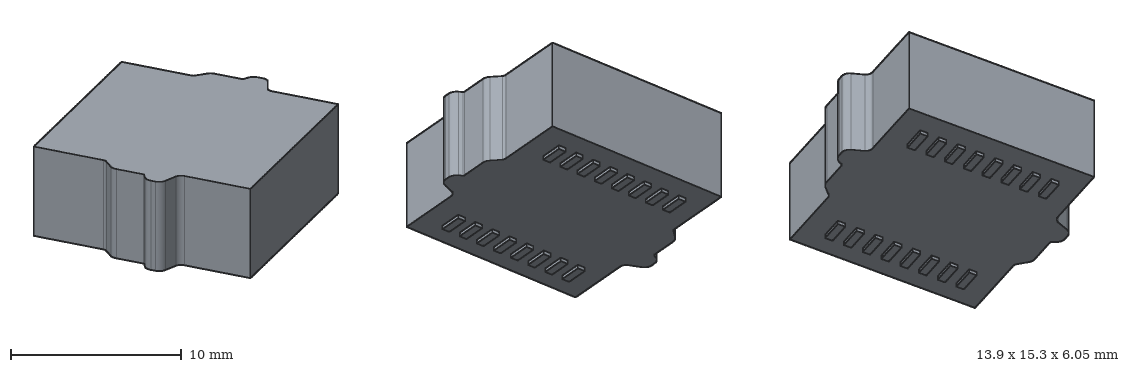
import cadquery as cq

body_width = 13.9
body_depth = 12.53
body_height = 5.8

overall_depth = 15.28
step_projection = 0.78
ramp_start_x = -2.35
ramp_end_x = ramp_start_x + step_projection
nose_start_x = 0.49
nose_left_x = 0.83
nose_right_x = 1.83
nose_end_x = 2.4
lug_overlap = 0.76

ramp_foot_radius = 0.3
step_radius = 0.61
nose_foot_radius = 0.09
nose_left_radius = 0.61
nose_right_radius = 0.53
nose_end_radius = 0.46

pad_length = 1.5
pad_width = 0.5
pad_height = 0.25
pad_pitch = 1.27
pads_per_row = 8
row_spacing = 9.6

face_y = body_depth / 2
step_y = face_y + step_projection
nose_y = overall_depth / 2


def make_lug():
    """Lug on the +Y face, with a flat strip at its root to carry the foot fillets."""
    root_y = face_y - lug_overlap
    strip_half_width = body_width / 2
    corners = [
        (-strip_half_width, root_y),
        (-strip_half_width, face_y),
        (ramp_start_x, face_y),
        (ramp_end_x, step_y),
        (nose_start_x, step_y),
        (nose_left_x, nose_y),
        (nose_right_x, nose_y),
        (nose_end_x, face_y),
        (strip_half_width, face_y),
        (strip_half_width, root_y),
    ]
    lug = cq.Workplane("XY").polyline(corners).close().extrude(body_height)

    rounded_corners = [
        (ramp_start_x, face_y, ramp_foot_radius),
        (ramp_end_x, step_y, step_radius),
        (nose_start_x, step_y, nose_foot_radius),
        (nose_left_x, nose_y, nose_left_radius),
        (nose_right_x, nose_y, nose_right_radius),
        (nose_end_x, face_y, nose_end_radius),
    ]
    for x, y, radius in rounded_corners:
        corner_edge = cq.selectors.NearestToPointSelector((x, y, body_height / 2))
        lug = lug.edges("|Z").edges(corner_edge).fillet(radius)
    return lug


def make_pads():
    """Two rows of rectangular pads hanging below the block."""
    return (
        cq.Workplane("XY")
        .rarray(row_spacing, pad_pitch, 2, pads_per_row)
        .rect(pad_length, pad_width)
        .extrude(-pad_height)
    )


body = cq.Workplane("XY").box(body_width, body_depth, body_height, centered=(True, True, False))
lug = make_lug()
result = body.union(lug).union(lug.mirror("XZ")).union(make_pads()).clean()